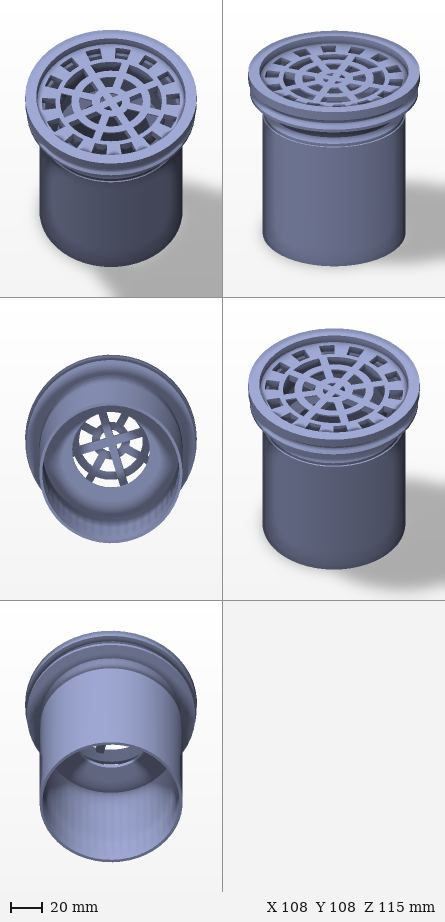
import cadquery as cq
import math

height = 115.0
recess_depth = 5.0
grate_thickness = 5.1
pipe_top_depth = 30.0

rim_radius = 108.0 / 2
rim_depth = 6.0
neck_radius = 100.0 / 2
flange_radius = 106.0 / 2
chamfer_size = flange_radius - neck_radius
flange_top_depth = 10.0
flange_bottom_depth = 15.0
lip_radius = 88.0 / 2
lip_top_depth = 25.1
shoulder_radius = 43.8
shoulder_depth = 16.1

seat_radius = 93.0 / 2
mouth_radius = 47.0
throat_top_radius = 41.5
throat_mid_radius = 36.8
throat_mid_depth = 21.8
throat_bottom_radius = 33.7
floor_depth = 34.5
floor_thickness = 3.0
floor_hole_radius = 24.4

pipe_outer_radius = 90.0 / 2
pipe_inner_radius = 86.4 / 2

spoke_width = 5.0
web_thickness = 1.0
hub_inner_radius = 7.0
hub_outer_radius = 12.0
web_ring_inner_radius = 20.0
web_ring_outer_radius = 25.0
cross_angles = (0, 90)
diagonal_angles = (45, 135)
tube_inner_radius = 64.0 / 2
tube_outer_radius = 34.0
tube_depth = 14.0
edge_window_inner_radius = 35.0
edge_window_outer_radius = 43.5
edge_window_count = 14


def make_frame():
    """Flanged funnel that carries the grate and plugs into the pipe."""
    grate_bottom = -(recess_depth + grate_thickness)
    floor_bottom = -(floor_depth + floor_thickness)
    profile = (
        cq.Workplane("XZ")
        .moveTo(mouth_radius, 0)
        .lineTo(rim_radius, 0)
        .lineTo(rim_radius, -rim_depth)
        .lineTo(neck_radius, -rim_depth)
        .lineTo(neck_radius, -flange_top_depth)
        .lineTo(flange_radius, -flange_top_depth - chamfer_size)
        .lineTo(flange_radius, -flange_bottom_depth)
        .lineTo(shoulder_radius, -shoulder_depth)
        .lineTo(lip_radius - chamfer_size, -lip_top_depth)
        .lineTo(lip_radius, -lip_top_depth - chamfer_size)
        .lineTo(lip_radius, -pipe_top_depth)
        .lineTo(pipe_inner_radius, -pipe_top_depth)
        .lineTo(pipe_inner_radius, floor_bottom)
        .lineTo(floor_hole_radius, floor_bottom)
        .lineTo(floor_hole_radius, -floor_depth)
        .lineTo(throat_bottom_radius, -floor_depth)
        .threePointArc((throat_mid_radius, -throat_mid_depth), (throat_top_radius, grate_bottom))
        .lineTo(seat_radius, grate_bottom)
        .lineTo(seat_radius, -recess_depth)
        .close()
    )
    return profile.revolve(360, (0, 0, 0), (0, 1, 0))


def ring(inner_radius, outer_radius, bottom, top):
    """Flat ring between two levels."""
    return (
        cq.Workplane("XY", origin=(0, 0, bottom))
        .circle(outer_radius)
        .circle(inner_radius)
        .extrude(top - bottom)
    )


def disc(radius, bottom, top):
    """Solid disc between two levels."""
    return cq.Workplane("XY", origin=(0, 0, bottom)).circle(radius).extrude(top - bottom)


def polar(radius, angle):
    """Point at a radius and an angle in radians."""
    return (radius * math.cos(angle), radius * math.sin(angle))


def make_edge_window(middle, bottom, top):
    """Wedge-shaped opening near the rim; openings and the bars between them take equal angles."""
    inner = edge_window_inner_radius
    outer = edge_window_outer_radius
    half_angle = math.pi / edge_window_count / 2
    first = middle - half_angle
    last = middle + half_angle
    return (
        cq.Workplane("XY", origin=(0, 0, bottom))
        .moveTo(*polar(inner, first))
        .lineTo(*polar(outer, first))
        .threePointArc(polar(outer, middle), polar(outer, last))
        .lineTo(*polar(inner, last))
        .threePointArc(polar(inner, middle), polar(inner, first))
        .close()
        .extrude(top - bottom)
    )


def make_bar(angle, bottom, top):
    """Bar across the grate opening at an angle in degrees, with ends inside the tube wall."""
    length = tube_inner_radius + tube_outer_radius
    bar = cq.Workplane("XY", origin=(0, 0, bottom)).rect(length, spoke_width).extrude(top - bottom)
    return bar.rotate((0, 0, 0), (0, 0, 1), angle)


def make_grate():
    """Round grate: a thick rim with a hanging tube, spanned by a deep cross and a thin web."""
    top = -recess_depth
    rim_bottom = top - grate_thickness
    web_bottom = top - web_thickness

    grate = disc(seat_radius, rim_bottom, top)
    grate = grate.union(disc(tube_outer_radius, top - tube_depth, top))
    grate = grate.cut(disc(tube_inner_radius, top - tube_depth, top))

    for angle in diagonal_angles:
        spokes = make_bar(angle, web_bottom, top).cut(disc(hub_inner_radius, web_bottom, top))
        grate = grate.union(spokes)
    grate = grate.union(ring(hub_inner_radius, hub_outer_radius, web_bottom, top))
    grate = grate.union(ring(web_ring_inner_radius, web_ring_outer_radius, web_bottom, top))
    for angle in cross_angles:
        grate = grate.union(make_bar(angle, rim_bottom, top))

    for index in range(edge_window_count):
        middle = math.pi / 2 + index * 2 * math.pi / edge_window_count
        grate = grate.cut(make_edge_window(middle, rim_bottom, top))
    return grate


frame = make_frame()
grate = make_grate()
pipe = ring(pipe_inner_radius, pipe_outer_radius, -height, -pipe_top_depth)

result = cq.Compound.makeCompound([frame.val(), grate.solids().val(), pipe.val()])